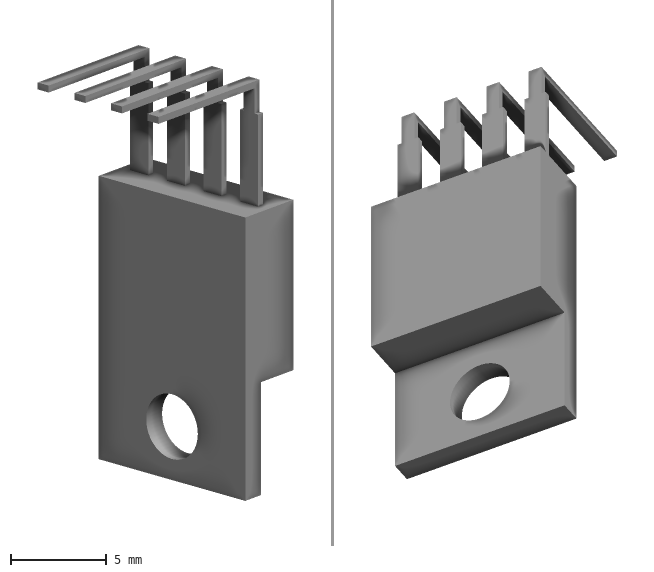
import cadquery as cq

TOTAL_HEIGHT = 22.5
WIDTH = 10.17
TAB_THICKNESS = 1.25
TAB_HEIGHT = 15.63
HOLE_DIAMETER = 3.58
HOLE_HEIGHT = 2.95

CASE_DEPTH = 2.55
CASE_HEIGHT = 9.4

TOTAL_DEPTH = 9.65
LEAD_COUNT = 4
LEAD_PITCH = 2.55
LEAD_THICKNESS = 0.38
LEAD_SETBACK = 1.66
SHANK_WIDTH = 1.25
SHANK_HEIGHT = 5.08
NECK_WIDTH = 0.76

CASE_BACK = TAB_THICKNESS + CASE_DEPTH
LEAD_BACK = CASE_BACK - LEAD_SETBACK
ARM_TIP = CASE_BACK - TOTAL_DEPTH


def block(width, y_front, y_back, z_bottom, z_top):
    """Box centred on X = 0 between the given Y and Z limits."""
    return (
        cq.Workplane("XY", origin=(0, y_front, z_bottom))
        .box(width, y_back - y_front, z_top - z_bottom, centered=(True, False, False))
    )


def make_tab():
    """Plate with a round mounting hole near its lower end."""
    plate = block(WIDTH, 0, TAB_THICKNESS, 0, TAB_HEIGHT)
    hole = (
        cq.Workplane("XZ", origin=(0, 0, HOLE_HEIGHT))
        .circle(HOLE_DIAMETER / 2)
        .extrude(-TAB_THICKNESS)
    )
    return plate.cut(hole)


def make_case():
    """Plain block on the rear face of the tab, flush with its top."""
    return block(WIDTH, TAB_THICKNESS, CASE_BACK, TAB_HEIGHT - CASE_HEIGHT, TAB_HEIGHT)


def make_lead(x):
    """Bent lead standing on top of the case, centred at the given X."""
    lead_front = LEAD_BACK - LEAD_THICKNESS
    shank = block(SHANK_WIDTH, lead_front, LEAD_BACK, TAB_HEIGHT, TAB_HEIGHT + SHANK_HEIGHT)
    neck = block(NECK_WIDTH, lead_front, LEAD_BACK, TAB_HEIGHT, TOTAL_HEIGHT)
    arm = block(NECK_WIDTH, ARM_TIP, LEAD_BACK, TOTAL_HEIGHT - LEAD_THICKNESS, TOTAL_HEIGHT)
    return shank.union(neck).union(arm).translate((x, 0, 0))


tab = make_tab()
case = make_case()

first_lead_x = -LEAD_PITCH * (LEAD_COUNT - 1) / 2
leads = [make_lead(first_lead_x + i * LEAD_PITCH) for i in range(LEAD_COUNT)]

result = cq.Compound.makeCompound([tab.val(), case.val(), *[lead.val() for lead in leads]])